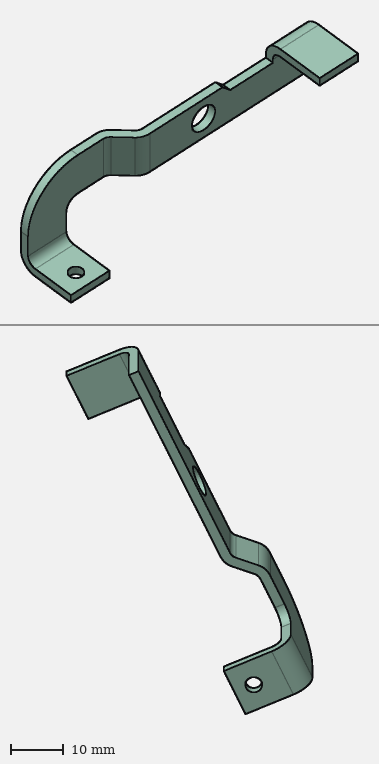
import cadquery as cq
import math

length = 69.0
width = 20.0
height = 25.0
thickness = 2.0
strap_width = 10.0
inner_bend = thickness
outer_bend = inner_bend + thickness

strap_bottom = 12.0
strap_top = strap_bottom + strap_width
elbow_inner_radius = 3.0
elbow_outer_radius = elbow_inner_radius + strap_width
elbow_z = strap_bottom - elbow_inner_radius

jog_offset = 5.0
jog_start = 19.5
bend_setback = math.tan(math.radians(22.5))

step_depth = 2.0
step_end = 47.9
step_z = strap_top - step_depth
rear_flange_start = length - strap_width

front_flange_reach = 14.0
rear_flange_reach = width - jog_offset
strap_hole_diameter = 6.0
strap_hole_y = 41.0
front_hole_diameter = 3.2
front_hole_x = 10.0


def jogged_sheet():
    """Full-height sheet following the jog, with constant-thickness bends."""
    left_y = jog_start + outer_bend * bend_setback
    right_y = left_y - thickness * bend_setback
    jog_right = jog_offset + thickness
    sheet = (
        cq.Workplane("XY")
        .moveTo(0, 0)
        .lineTo(0, left_y)
        .lineTo(jog_offset, left_y + jog_offset)
        .lineTo(jog_offset, length)
        .lineTo(jog_right, length)
        .lineTo(jog_right, right_y + jog_offset)
        .lineTo(thickness, right_y)
        .lineTo(thickness, 0)
        .close()
        .extrude(height)
    )

    def round_edge(body, x, y, radius):
        edge = cq.selectors.NearestToPointSelector((x, y, height / 2))
        return body.edges("|Z").edges(edge).fillet(radius)

    sheet = round_edge(sheet, 0, left_y, outer_bend)
    sheet = round_edge(sheet, thickness, right_y, inner_bend)
    sheet = round_edge(sheet, jog_offset, left_y + jog_offset, inner_bend)
    return round_edge(sheet, jog_right, right_y + jog_offset, outer_bend)


def side_outline():
    """Side silhouette of the upright sheet, between the two flange bends."""
    diagonal = math.sqrt(0.5)
    elbow_y = elbow_outer_radius
    outer_mid = (elbow_y - elbow_outer_radius * diagonal, elbow_z + elbow_outer_radius * diagonal)
    inner_mid = (elbow_y - elbow_inner_radius * diagonal, elbow_z + elbow_inner_radius * diagonal)
    return (
        cq.Workplane("YZ")
        .moveTo(0, outer_bend)
        .lineTo(0, elbow_z)
        .threePointArc(outer_mid, (elbow_y, strap_top))
        .lineTo(step_end - step_depth, strap_top)
        .lineTo(step_end, step_z)
        .lineTo(rear_flange_start, step_z)
        .lineTo(rear_flange_start, height - outer_bend)
        .lineTo(length, height - outer_bend)
        .lineTo(length, strap_bottom)
        .lineTo(elbow_y, strap_bottom)
        .threePointArc(inner_mid, (strap_width, elbow_z))
        .lineTo(strap_width, outer_bend)
        .close()
        .extrude(width)
    )


def bent_flange(x, y, z, reach, up):
    """Quarter bend and flange; z is the outer face, up is the direction to the upright sheet."""
    diagonal = math.sqrt(0.5)
    center_x = x + outer_bend
    center_z = z + up * outer_bend
    outer_mid = (center_x - outer_bend * diagonal, center_z - up * outer_bend * diagonal)
    inner_mid = (center_x - inner_bend * diagonal, center_z - up * inner_bend * diagonal)
    return (
        cq.Workplane("XZ", origin=(0, y, 0))
        .moveTo(x, center_z)
        .threePointArc(outer_mid, (center_x, z))
        .lineTo(x + reach, z)
        .lineTo(x + reach, z + up * thickness)
        .lineTo(center_x, z + up * thickness)
        .threePointArc(inner_mid, (x + thickness, center_z))
        .close()
        .extrude(-strap_width)
    )


strap = jogged_sheet().intersect(side_outline())
front_flange = bent_flange(0, 0, 0, front_flange_reach, 1)
rear_flange = bent_flange(jog_offset, rear_flange_start, height, rear_flange_reach, -1)

strap_hole = (
    cq.Workplane("YZ")
    .center(strap_hole_y, strap_bottom + strap_width / 2)
    .circle(strap_hole_diameter / 2)
    .extrude(width)
)
front_hole = (
    cq.Workplane("XY")
    .center(front_hole_x, strap_width / 2)
    .circle(front_hole_diameter / 2)
    .extrude(thickness)
)

result = strap.union(front_flange).union(rear_flange).cut(strap_hole).cut(front_hole)